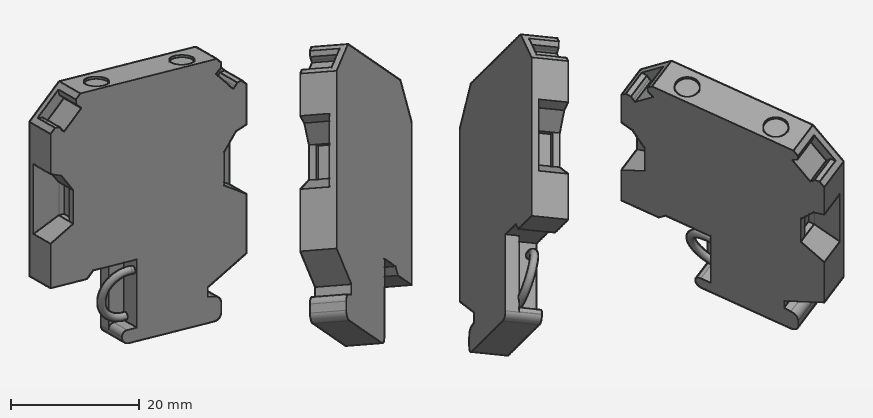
import cadquery as cq
import math

thickness = 6.0
length = 36.5
height = 44.0
half_length = length / 2
corner_chamfer = 5.55

foot_front = -4.95
foot_front_radius = 1.28
lug_back = 13.55
lug_radius = 1.35
lug_top = 4.2
notch_depth_y = 11.05
notch_bottom = 4.4
notch_top = 6.05
slope_bottom = 10.1
shoulder_height = 13.75
skirt_height = 12.55
skirt_slope_start = -10.3
skirt_slope_end = -11.5

screw_diameter = 3.95
screw_x = 3.3
screw_y = 7.95
screw_depth = 0.4

label_wall = 1.1
label_margin = 0.85
label_lip_offset = 0.15
label_lip_length = 0.92
label_undercut_run = 0.55
label_undercut_drop = 0.4
label_floor_step = 0.35

wire_depth = 4.22
wire_bend_depth = 2.0
wire_mouth_x = 1.2
wire_floor_x = 1.9
wire_mouth_bottom = 20.0
wire_floor_bottom = 22.45
wire_mouth_top = 31.72
wire_bend_top = 31.0
wire_floor_top = 28.05
wire_hole_depth = 1.0

recess_wall = 2.25
recess_depth = 2.75
recess_floor = 2.3
recess_floor_radius = 0.95

ring_radius = 4.4
ring_wire_radius = 0.65
ring_center = (3.8, -2.75, 7.4)
ring_tilt = 14.0
ring_turn = 3.0


def side_prism(outline, x_start):
    """Extrude a closed (Y, Z) wire from x_start to the open +X side."""
    return outline.extrude(thickness - x_start)


def side_plane(x_start):
    return cq.Workplane("YZ", origin=(x_start, 0, 0))


def make_housing():
    """Side outline with a hooked foot, extruded through the thickness."""
    diagonal = math.sqrt(0.5)
    front_bend = foot_front_radius * (1 - diagonal)
    lug_bend = lug_radius * (1 - diagonal)
    outline = (
        side_plane(0)
        .moveTo(foot_front + foot_front_radius, 0)
        .lineTo(lug_back - lug_radius, 0)
        .threePointArc((lug_back - lug_bend, lug_bend), (lug_back, lug_radius))
        .lineTo(lug_back, lug_top - lug_radius)
        .threePointArc((lug_back - lug_bend, lug_top - lug_bend), (lug_back - lug_radius, lug_top))
        .lineTo(notch_depth_y, notch_bottom)
        .lineTo(notch_depth_y, notch_top)
        .lineTo(half_length, slope_bottom)
        .lineTo(half_length, height - corner_chamfer)
        .lineTo(half_length - corner_chamfer, height)
        .lineTo(corner_chamfer - half_length, height)
        .lineTo(-half_length, height - corner_chamfer)
        .lineTo(-half_length, skirt_height)
        .lineTo(skirt_slope_end, skirt_height)
        .lineTo(skirt_slope_start, shoulder_height)
        .lineTo(foot_front, shoulder_height)
        .lineTo(foot_front, foot_front_radius)
        .threePointArc((foot_front + front_bend, front_bend), (foot_front + foot_front_radius, 0))
        .close()
    )
    return side_prism(outline, 0)


def make_label_pocket():
    """Undercut pocket in the front corner chamfer, symmetric about the corner's bisector."""
    mouth = (corner_chamfer - label_margin, label_margin)
    lip = (mouth[0] + label_lip_offset, mouth[1] + label_lip_length)
    undercut = (lip[0] + label_undercut_run, lip[1] + label_undercut_drop)
    floor = (undercut[0] + label_floor_step, undercut[1] + label_floor_step)
    upper_half = [mouth, lip, undercut, floor]
    lower_half = [(down, inward) for inward, down in reversed(upper_half)]
    points = [(inward - half_length, height - down) for inward, down in upper_half + lower_half]
    points.append((-half_length, height))
    return side_prism(side_plane(label_wall).polyline(points).close(), label_wall)


def make_wire_entry():
    """Funnel in the front end face with a shallow rectangular hole in its floor."""
    front = -half_length
    floor = front + wire_depth
    points = [
        (front, wire_mouth_bottom),
        (floor, wire_floor_bottom),
        (floor, wire_floor_top),
        (front + wire_bend_depth, wire_bend_top),
        (front, wire_mouth_top),
    ]
    side_profile = side_prism(side_plane(0).polyline(points).close(), 0)
    plan_points = [
        (wire_mouth_x, front),
        (thickness, front),
        (thickness, floor),
        (wire_floor_x, floor),
    ]
    plan_profile = cq.Workplane("XY").polyline(plan_points).close().extrude(height)
    hole = cq.Workplane("XY").box(
        thickness - wire_mouth_x - wire_floor_x,
        wire_hole_depth,
        wire_floor_top - wire_floor_bottom,
        centered=False,
    ).translate((wire_floor_x, floor, wire_floor_bottom))
    return side_profile.intersect(plan_profile).union(hole)


def make_spring_recess():
    """Recess in the foot, above a floor whose front edge is rounded."""
    back = foot_front + recess_depth
    bend = recess_floor_radius * (1 - math.sqrt(0.5))
    outline = (
        side_plane(recess_wall)
        .moveTo(foot_front, shoulder_height)
        .lineTo(back, shoulder_height)
        .lineTo(back, recess_floor)
        .lineTo(foot_front + recess_floor_radius, recess_floor)
        .threePointArc(
            (foot_front + bend, recess_floor - bend),
            (foot_front, recess_floor - recess_floor_radius),
        )
        .close()
    )
    return side_prism(outline, recess_wall)


def make_spring_ring():
    """Torus leaning toward +X at its top, its front turned slightly toward -X."""
    tilt = math.radians(ring_tilt)
    turn = math.radians(ring_turn)
    axis = cq.Vector(
        math.cos(tilt) * math.cos(turn),
        -math.cos(tilt) * math.sin(turn),
        -math.sin(tilt),
    )
    ring = cq.Solid.makeTorus(ring_radius, ring_wire_radius, cq.Vector(*ring_center), axis)
    return cq.Workplane(ring)


result = make_housing()

for end_cut in (make_label_pocket(), make_wire_entry()):
    result = result.cut(end_cut).cut(end_cut.mirror("XZ"))

screw_recesses = (
    cq.Workplane("XY", origin=(0, 0, height))
    .pushPoints([(screw_x, -screw_y), (screw_x, screw_y)])
    .circle(screw_diameter / 2)
    .extrude(-screw_depth)
)
result = result.cut(screw_recesses).cut(make_spring_recess()).union(make_spring_ring())